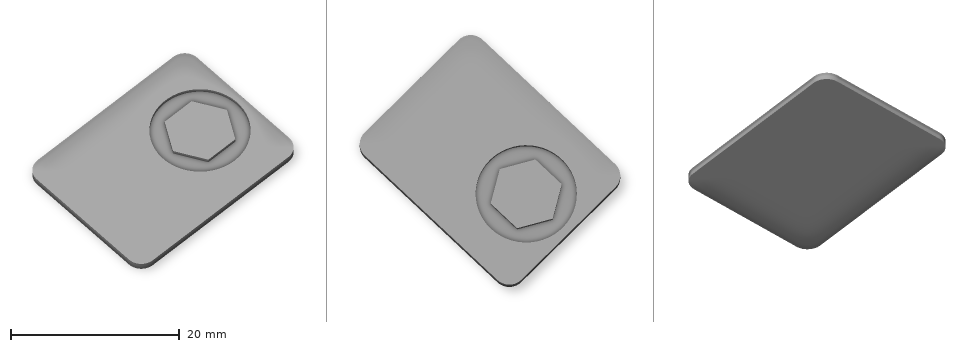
import cadquery as cq
import math

plate_width = 20.0
plate_length = 26.0
plate_thickness = 1.0
corner_radius = 2.0

recess_diameter = 12.0
recess_edge_margin = 1.0
recess_depth = 0.5
recess_center_y = plate_length / 2 - recess_edge_margin - recess_diameter / 2
hex_sides = 6
hex_across_flats = 7.6
hex_across_corners = hex_across_flats / math.cos(math.pi / hex_sides)
hex_point_angle = 90


def make_plate():
    """Flat plate with rounded vertical corners, resting on Z = 0."""
    return (
        cq.Workplane("XY")
        .rect(plate_width, plate_length)
        .extrude(plate_thickness)
        .edges("|Z")
        .fillet(corner_radius)
    )


def make_recess():
    """Ring-shaped cutter: a disc with the hexagonal island removed from it."""
    floor_height = plate_thickness - recess_depth
    floor = cq.Workplane("XY").workplane(offset=floor_height).center(0, recess_center_y)
    disc = floor.circle(recess_diameter / 2).extrude(recess_depth)
    island = (
        floor.transformed(rotate=(0, 0, hex_point_angle))
        .polygon(hex_sides, hex_across_corners)
        .extrude(recess_depth)
    )
    return disc.cut(island)


result = make_plate().cut(make_recess())